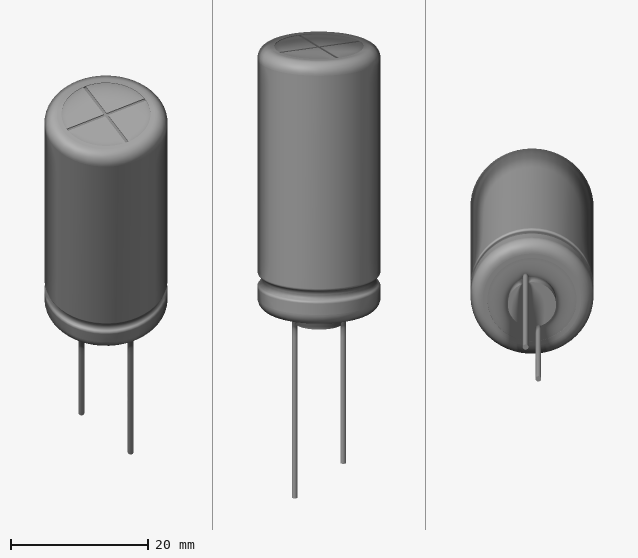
import cadquery as cq
import math

total_height = 69.1
case_height = 40.0
case_bottom = total_height - case_height

sleeve_diameter = 18.0
sleeve_thickness = 0.1
sleeve_opening_diameter = 13.0
end_radius = 1.8

groove_height_above_base = 4.6
groove_root_diameter = 16.45
groove_root_width = 0.2
groove_shoulder_height = 0.4
groove_flank_height = 0.6

vent_angle = 45.0
vent_width = 0.5
vent_depth = 0.2

bung_diameter = 7.05
bung_length = 2.1
lead_diameter = 0.8
lead_pitch = 7.45
short_lead_end = 6.0

groove_depth = (sleeve_diameter - groove_root_diameter) / 2
flank_angle = 2 * math.atan(groove_depth / (groove_shoulder_height + groove_flank_height))
shoulder_radius = groove_shoulder_height / math.sin(flank_angle)
flank_radius = groove_flank_height / math.sin(flank_angle)
groove_z = case_bottom + groove_height_above_base


def point_on_arc(center, radius, angle):
    """Point (radial, height) at an angle measured from the radial direction."""
    return (center[0] + radius * math.cos(angle), center[1] + radius * math.sin(angle))


def case_solid(inset):
    """Grooved round case with rounded ends, its whole skin moved inwards by inset."""
    outer = sleeve_diameter / 2 - inset
    root = groove_root_diameter / 2 - inset
    bottom = case_bottom + inset
    top = total_height - inset
    corner = end_radius - inset
    convex = shoulder_radius - inset
    concave = flank_radius + inset
    half_root = groove_root_width / 2
    half_groove = half_root + groove_flank_height + groove_shoulder_height

    lower_shoulder = (outer - convex, groove_z - half_groove)
    upper_shoulder = (outer - convex, groove_z + half_groove)
    lower_flank = (root + concave, groove_z - half_root)
    upper_flank = (root + concave, groove_z + half_root)
    low_corner = (outer - corner, bottom + corner)
    high_corner = (outer - corner, top - corner)
    half_angle = flank_angle / 2

    profile = (
        cq.Workplane("XZ")
        .moveTo(0, bottom)
        .lineTo(outer - corner, bottom)
        .threePointArc(point_on_arc(low_corner, corner, -math.pi / 4), (outer, bottom + corner))
        .lineTo(outer, groove_z - half_groove)
        .threePointArc(
            point_on_arc(lower_shoulder, convex, half_angle),
            point_on_arc(lower_shoulder, convex, flank_angle),
        )
        .threePointArc(
            point_on_arc(lower_flank, concave, math.pi + half_angle),
            (root, groove_z - half_root),
        )
        .lineTo(root, groove_z + half_root)
        .threePointArc(
            point_on_arc(upper_flank, concave, math.pi - half_angle),
            point_on_arc(upper_shoulder, convex, -flank_angle),
        )
        .threePointArc(
            point_on_arc(upper_shoulder, convex, -half_angle),
            (outer, groove_z + half_groove),
        )
        .lineTo(outer, top - corner)
        .threePointArc(point_on_arc(high_corner, corner, math.pi / 4), (outer - corner, top))
        .lineTo(0, top)
        .close()
    )
    return profile.revolve(360, (0, 0, 0), (0, 1, 0))


def cylinder(diameter, bottom, top, x=0.0):
    """Upright cylinder between two heights."""
    return cq.Workplane("XY", origin=(x, 0, bottom)).circle(diameter / 2).extrude(top - bottom)


def make_sleeve():
    """Thin skin that leaves the middle of both can ends bare."""
    opening = cylinder(sleeve_opening_diameter, case_bottom, total_height)
    return case_solid(0).cut(case_solid(sleeve_thickness)).cut(opening)


def make_vent_cross():
    """Two crossed bars at opposite slants, spanning the sleeve opening."""
    can_top = total_height - sleeve_thickness
    bar = (
        cq.Workplane("XY", origin=(0, 0, can_top - vent_depth))
        .rect(sleeve_opening_diameter, vent_width)
        .extrude(vent_depth)
    )
    rising = bar.rotate((0, 0, 0), (0, 0, 1), vent_angle)
    falling = bar.rotate((0, 0, 0), (0, 0, 1), -vent_angle)
    return rising.union(falling)


def make_capacitor():
    """Can with its vent cross, bung and two leads of unequal length."""
    can_bottom = case_bottom + sleeve_thickness
    can = case_solid(sleeve_thickness).cut(make_vent_cross())
    can = can.union(cylinder(bung_diameter, case_bottom - bung_length, can_bottom))
    for x, end in ((-lead_pitch / 2, short_lead_end), (lead_pitch / 2, 0.0)):
        can = can.union(cylinder(lead_diameter, end, can_bottom, x))
    return can


sleeve = make_sleeve()
capacitor = make_capacitor()

result = cq.Compound.makeCompound([sleeve.val(), capacitor.val()])